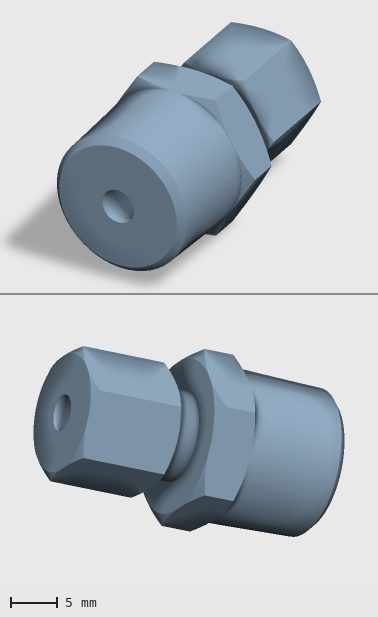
import cadquery as cq
import math

total_length = 30.53
thread_length = 11.5
gauge_position = 6.35
end_chamfer_length = 0.82
body_hex_length = 5.0
neck_length = 3.0

body_hex_flats = 17.0
nut_hex_flats = 13.0
neck_diameter = 10.0
bore_diameter = 4.0
thread_gauge_diameter = 16.67
thread_taper = 1 / 16
hex_chamfer_angle = 30.0

body_hex_start = thread_length
neck_start = body_hex_start + body_hex_length
nut_start = neck_start + neck_length
nut_length = total_length - nut_start


def revolve_about_y(points):
    """Solid of revolution about Y from (radius, y) points."""
    return cq.Workplane("XY").polyline(points).close().revolve(360, (0, 0, 0), (0, 1, 0))


def thread_radius(y):
    return (thread_gauge_diameter + (y - gauge_position) * thread_taper) / 2


def cylinder(diameter, start, length):
    plane = cq.Workplane("XZ", origin=(0, start, 0))
    return plane.circle(diameter / 2).extrude(-length)


def chamfered_hex(flats, start, length):
    """Hexagon with corners on X, both ends turned down to the width across flats."""
    corner_radius = flats / math.sqrt(3)
    face_radius = flats / 2
    depth = (corner_radius - face_radius) * math.tan(math.radians(hex_chamfer_angle))
    end = start + length
    plane = cq.Workplane("XZ", origin=(0, start, 0))
    prism = plane.polygon(6, 2 * corner_radius).extrude(-length)
    envelope = revolve_about_y([
        (0, start),
        (face_radius, start),
        (corner_radius, start + depth),
        (corner_radius, end - depth),
        (face_radius, end),
        (0, end),
    ])
    return prism.intersect(envelope)


tip_radius = thread_radius(end_chamfer_length)
thread = revolve_about_y([
    (0, 0),
    (tip_radius - end_chamfer_length, 0),
    (tip_radius, end_chamfer_length),
    (thread_radius(thread_length), thread_length),
    (0, thread_length),
])
body_hex = chamfered_hex(body_hex_flats, body_hex_start, body_hex_length)
neck = cylinder(neck_diameter, neck_start, neck_length)
nut = chamfered_hex(nut_hex_flats, nut_start, nut_length)
bore = cylinder(bore_diameter, 0, total_length)

result = thread.union(body_hex).union(neck).union(nut).cut(bore)